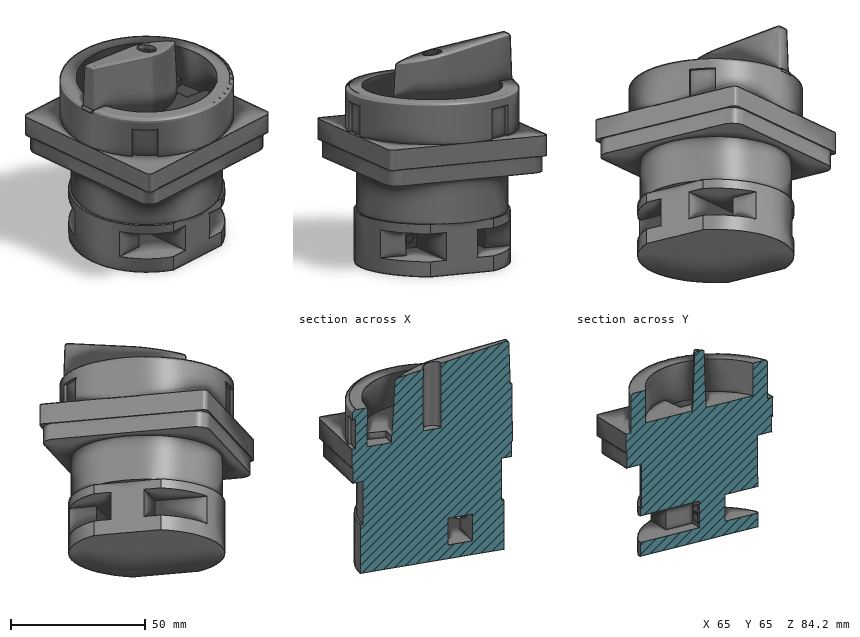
import cadquery as cq
import math

height = 84.2
base_top = 19.9
neck_top = 37.0
gasket_top = 43.3
plate_top = 51.0
dial_floor = 53.6
dial_top = 66.7

base_radius = 29.0
base_half_width = 26.0
window_bottom = 5.7
window_top = 16.3
window_inner_x = 11.5
window_inner_y = 6.4
slot_outer_y = 16.2

screw_radius = 3.7
screw_head = 0.5
cross_length = 5.9
cross_width = 0.75

neck_radius = 28.1
gasket_side = 64.1
gasket_corner = 5.3
plate_side = 65.0
plate_corner = 2.0

dial_radius = 32.3
dial_rim_fillet = 1.4
bore_radius = 26.2
notch_top = 62.6
notch_depth = 1.2
notch_angle = 17.2
notch_centers = (90.0, 206.9, 312.6)
pocket_inner_y = 16.5
pocket_inner_half = 5.0
pocket_corner_y = 25.3
pocket_corner_half = 6.3

handle_draft = 2.0
handle_tip_y = 16.4
handle_wide_y = -2.5
handle_half_width = 6.3
handle_front_y = -32.1
handle_side_angle = 6.0
handle_peak_y = -29.5
handle_tilt = 9.7
handle_hole_radius = 3.5
handle_side_blend = 11.8
handle_front_fillet = 1.35
handle_top_fillet = 1.3
handle_foot_bottom = 65.5

cut_margin = 4.2


def box_between(x_range, y_range, z_range):
    """Axis-aligned box given by its lower and upper limits on each axis."""
    (x0, x1), (y0, y1), (z0, z1) = x_range, y_range, z_range
    return cq.Workplane("XY").box(x1 - x0, y1 - y0, z1 - z0, centered=False).translate((x0, y0, z0))


def cylinder_between(radius, z0, z1):
    return cq.Workplane("XY").workplane(offset=z0).circle(radius).extrude(z1 - z0)


def rounded_plate(side, corner, z0, z1):
    plate = cq.Workplane("XY").workplane(offset=z0).rect(side, side).extrude(z1 - z0)
    return plate.edges("|Z").fillet(corner)


def make_terminal_screw():
    """Cross-recessed screw head on the closed end of the blind slot, facing -X."""
    center_y = (window_inner_y + slot_outer_y) / 2
    center_z = (window_bottom + window_top) / 2
    head = cq.Workplane("YZ").circle(screw_radius).extrude(-screw_head)
    for size in ((cross_length, cross_width), (cross_width, cross_length)):
        head = head.cut(cq.Workplane("YZ").rect(*size).extrude(-screw_head))
    return head.translate((0, center_y, center_z))


def make_base():
    """Round base with two flats, four corner windows, a through slot and a blind slot."""
    flats = cq.Workplane("XY").rect(2 * base_half_width, 2 * base_radius).extrude(base_top)
    base = cylinder_between(base_radius, 0, base_top).intersect(flats)
    reach = base_radius + cut_margin
    window_z = (window_bottom, window_top)
    corner = box_between((window_inner_x, reach), (window_inner_y, reach), window_z)
    for mirrored in (corner, corner.mirror("YZ")):
        base = base.cut(mirrored).cut(mirrored.mirror("XZ"))
    through_slot = box_between((-reach, reach), (-slot_outer_y, -window_inner_y), window_z)
    blind_slot = box_between((-reach, 0), (window_inner_y, slot_outer_y), window_z)
    return base.cut(through_slot).cut(blind_slot).union(make_terminal_screw())


def dial_notch(center_angle):
    """Shallow recess in the outside of the dial, bounded by radial walls."""
    def polar(radius, angle):
        return radius * math.cos(math.radians(angle)), radius * math.sin(math.radians(angle))

    inner = dial_radius - notch_depth
    outer = dial_radius + cut_margin
    start = center_angle - notch_angle / 2
    end = center_angle + notch_angle / 2
    return (
        cq.Workplane("XY").workplane(offset=plate_top)
        .moveTo(*polar(inner, start))
        .threePointArc(polar(inner, center_angle), polar(inner, end))
        .lineTo(*polar(outer, end))
        .threePointArc(polar(outer, center_angle), polar(outer, start))
        .close().extrude(notch_top - plate_top)
    )


def make_dial():
    """Cupped ring with outside notches and an index pocket in its floor."""
    dial = cylinder_between(dial_radius, plate_top, dial_top).faces(">Z").edges().fillet(dial_rim_fillet)
    dial = dial.cut(cylinder_between(bore_radius, dial_floor, dial_top))
    for center_angle in notch_centers:
        dial = dial.cut(dial_notch(center_angle))
    flare = (pocket_corner_half - pocket_inner_half) / (pocket_corner_y - pocket_inner_y)
    outer_y = bore_radius + cut_margin
    outer_half = pocket_inner_half + flare * (outer_y - pocket_inner_y)
    pocket = (
        cq.Workplane("XY").workplane(offset=plate_top)
        .polyline([
            (-pocket_inner_half, pocket_inner_y), (pocket_inner_half, pocket_inner_y),
            (outer_half, outer_y), (-outer_half, outer_y),
        ])
        .close().extrude(dial_floor - plate_top)
    )
    return dial.cut(pocket.intersect(cylinder_between(bore_radius, plate_top, dial_floor)))


side_angle = math.radians(handle_side_angle)
blend_x = handle_half_width - handle_side_blend * (1 - math.cos(side_angle))
blend_y = handle_wide_y - handle_side_blend * math.sin(side_angle)
blend_mid_x = handle_half_width - handle_side_blend * (1 - math.cos(side_angle / 2))
blend_mid_y = handle_wide_y - handle_side_blend * math.sin(side_angle / 2)
handle_front_half = blend_x - (blend_y - handle_front_y) * math.tan(side_angle)


def handle_outline():
    """Closed outline of the handle at the dial floor, with its corners rounded."""
    arc_height = handle_tip_y - handle_wide_y
    arc_radius = (arc_height**2 + handle_half_width**2) / (2 * handle_half_width)
    arc_mid_y = handle_wide_y + arc_height / 2
    arc_mid_x = handle_half_width - arc_radius + math.sqrt(arc_radius**2 - (arc_height / 2) ** 2)
    slab = (
        cq.Workplane("XY").workplane(offset=dial_floor)
        .moveTo(-handle_front_half, handle_front_y)
        .lineTo(handle_front_half, handle_front_y)
        .lineTo(blend_x, blend_y)
        .threePointArc((blend_mid_x, blend_mid_y), (handle_half_width, handle_wide_y))
        .threePointArc((arc_mid_x, arc_mid_y), (0, handle_tip_y))
        .threePointArc((-arc_mid_x, arc_mid_y), (-handle_half_width, handle_wide_y))
        .threePointArc((-blend_mid_x, blend_mid_y), (-blend_x, blend_y))
        .close().extrude(height - dial_floor)
    )
    slab = slab.edges("|Z").edges("<Y").fillet(handle_front_fillet)
    return slab.faces("<Z").wires().val()


def make_handle_foot():
    """Small lip that carries the blunt end of the handle out and down over the rounded rim."""
    inset = (dial_top - dial_floor) * math.tan(math.radians(handle_draft))
    foot_half = handle_front_half - inset
    foot_round = dial_radius + handle_front_y + inset
    foot = box_between(
        (-foot_half, foot_half), (-dial_radius, -bore_radius - cut_margin), (handle_foot_bottom, dial_top))
    return foot.faces("<Y").edges("not <Z").fillet(foot_round)


def make_handle():
    """Tapered pointer grip with a sloping top, a sharp tip at +Y and a blunt end at -Y."""
    handle = (
        cq.Workplane("XY").add(handle_outline()).toPending()
        .extrude(height - dial_floor + handle_top_fillet, taper=handle_draft)
    )
    rise = plate_side * math.tan(math.radians(handle_tilt))
    above_top = (
        cq.Workplane("YZ").workplane(offset=-plate_side / 2)
        .polyline([
            (handle_peak_y - plate_side, height + rise),
            (handle_peak_y + plate_side, height - rise),
            (handle_peak_y + plate_side, height + rise),
        ])
        .close().extrude(plate_side)
    )
    handle = handle.cut(above_top).faces(">Z").edges().fillet(handle_top_fillet)
    handle = handle.cut(cylinder_between(handle_hole_radius, dial_floor, height))
    return handle.union(make_handle_foot()).intersect(cylinder_between(dial_radius, dial_floor, height))


result = (
    make_base()
    .union(cylinder_between(neck_radius, base_top, neck_top))
    .union(rounded_plate(gasket_side, gasket_corner, neck_top, gasket_top))
    .union(rounded_plate(plate_side, plate_corner, gasket_top, plate_top))
    .union(make_dial())
    .union(make_handle())
)